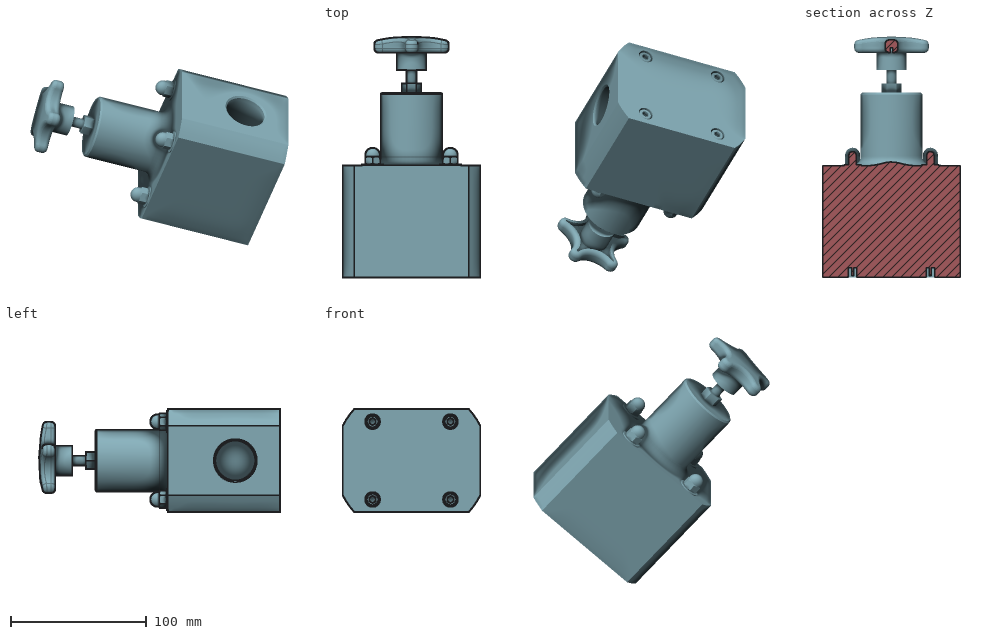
import cadquery as cq
import math

BODY_WIDTH = 101.6
BODY_HEIGHT = 76.2
BODY_LENGTH = 82.8
CORNER_DIAMETER = 113.8

PORT_DIAMETER = 29.37
PORT_MOUTH_DIAMETER = 31.75
PORT_DEPTH = 25.4
PORT_CENTRE_Y = 33.0

BOLT_OFFSET = 28.7
BOLT_SIGNS = [(-1, -1), (-1, 1), (1, -1), (1, 1)]
COUNTERBORE_DIAMETER = 11.0
COUNTERBORE_DEPTH = 7.0
HEAD_DIAMETER = 9.53
HEAD_RECESS = 0.6
HEAD_CHAMFER = 0.6
SOCKET_ACROSS_FLATS = 4.76
SOCKET_DEPTH = 3.0
SOCKET_TIP_DEPTH = 1.3

WASHER_DIAMETER = 15.88
WASHER_THICKNESS = 0.8
ACORN_ACROSS_FLATS = 11.0
ACORN_HEX_TOP_Y = 89.2
DOME_BASE_Y = 90.3
DOME_RADIUS = ACORN_ACROSS_FLATS / 2
HEX_CHAMFER_ANGLE = 30.0

BONNET_DIAMETER = 45.72
BONNET_END_Y = 136.4
BONNET_CHAMFER = 1.2
BONNET_ROOT_RADIUS = 6.35
JAM_NUT_ACROSS_FLATS = 12.7
JAM_NUT_END_Y = 143.3
STEM_DIAMETER = 7.44

HUB_DIAMETER = 22.1
HUB_OVERLAP = 1.0
HUB_START_Y = 153.1
WHEEL_BASE_Y = 165.8
WHEEL_CROWN_Y = 177.84
WHEEL_CROWN_RADIUS = 125.0
CROWN_TRIM = 2.0
ARM_COUNT = 5
FIRST_ARM_ANGLE = -90
ARM_TIP_RADIUS = 4.76
ARM_CENTRE_RADIUS = 23.9
WEB_RADIUS = 17.4
WHEEL_BASE_FILLET = 3.2
WHEEL_CROWN_FILLET = 3.0
WHEEL_RIM_WIDTH = 3.9
WHEEL_RECESS_DEPTH = 3.4


def plane_at(y):
    """Plane facing +Y at height y, with local x = X and local y = -Z."""
    return cq.Plane(origin=(0, y, 0), xDir=(1, 0, 0), normal=(0, 1, 0))


def cylinder(diameter, start_y, end_y):
    return cq.Workplane(plane_at(start_y)).circle(diameter / 2).extrude(end_y - start_y)


def hexagon(across_flats, start_y, end_y, turn=0.0):
    """Hexagonal prism along Y; its corners point along X before turning about Y."""
    across_corners = across_flats / math.cos(math.pi / 6)
    prism = cq.Workplane(plane_at(start_y)).polygon(6, across_corners).extrude(end_y - start_y)
    return prism.rotate((0, 0, 0), (0, 1, 0), turn)


def revolve_about_y(profile):
    return profile.close().revolve(360, (0, 0), (0, 1))


def polar(radius, degrees):
    angle = math.radians(degrees)
    return (radius * math.cos(angle), radius * math.sin(angle))


def at_bolts(shape):
    """Copies of a shape on the Y axis, moved to every bolt position."""
    copies = cq.Workplane("XY")
    for sign_x, sign_z in BOLT_SIGNS:
        copies = copies.add(shape.translate((sign_x * BOLT_OFFSET, 0, sign_z * BOLT_OFFSET)))
    return copies.combine()


def make_body():
    block = cq.Workplane("XY").box(BODY_WIDTH, BODY_LENGTH, BODY_HEIGHT, centered=(True, False, True))
    return block.intersect(cylinder(CORNER_DIAMETER, 0, BODY_LENGTH))


def make_port():
    mouth_chamfer = (PORT_MOUTH_DIAMETER - PORT_DIAMETER) / 2
    mouth_plane = cq.Plane(origin=(-BODY_WIDTH / 2, PORT_CENTRE_Y, 0), xDir=(0, 1, 0), normal=(1, 0, 0))
    bore = cq.Workplane(mouth_plane).circle(PORT_DIAMETER / 2).extrude(PORT_DEPTH)
    mouth = (
        cq.Workplane(mouth_plane)
        .circle(PORT_MOUTH_DIAMETER / 2)
        .extrude(mouth_chamfer, taper=45)
    )
    return bore.union(mouth)


def make_screw_head():
    """Socket head, sunk below the front face, that fills the counterbore floor."""
    head = cylinder(HEAD_DIAMETER, HEAD_RECESS, COUNTERBORE_DEPTH).faces("<Y").chamfer(HEAD_CHAMFER)
    socket_end = HEAD_RECESS + SOCKET_DEPTH
    socket = hexagon(SOCKET_ACROSS_FLATS, HEAD_RECESS, socket_end, turn=30)
    tip = revolve_about_y(
        cq.Workplane("XY")
        .moveTo(0, socket_end)
        .lineTo(SOCKET_ACROSS_FLATS / 2, socket_end)
        .lineTo(0, socket_end + SOCKET_TIP_DEPTH)
    )
    return head.cut(socket).cut(tip)


def make_acorn_nut():
    seat_y = BODY_LENGTH + WASHER_THICKNESS
    washer = cylinder(WASHER_DIAMETER, BODY_LENGTH, seat_y)
    corner_radius = ACORN_ACROSS_FLATS / 2 / math.cos(math.pi / 6)
    chamfer_drop = (corner_radius - DOME_RADIUS) * math.tan(math.radians(HEX_CHAMFER_ANGLE))
    chamfer_envelope = revolve_about_y(
        cq.Workplane("XY")
        .moveTo(0, seat_y)
        .lineTo(DOME_RADIUS, seat_y)
        .lineTo(corner_radius, seat_y + chamfer_drop)
        .lineTo(corner_radius, ACORN_HEX_TOP_Y - chamfer_drop)
        .lineTo(DOME_RADIUS, ACORN_HEX_TOP_Y)
        .lineTo(0, ACORN_HEX_TOP_Y)
    )
    wrench_flats = hexagon(ACORN_ACROSS_FLATS, seat_y, ACORN_HEX_TOP_Y, turn=30).intersect(chamfer_envelope)
    dome_mid = polar(DOME_RADIUS, 45)
    dome = revolve_about_y(
        cq.Workplane("XY")
        .moveTo(0, seat_y)
        .lineTo(DOME_RADIUS, seat_y)
        .lineTo(DOME_RADIUS, DOME_BASE_Y)
        .threePointArc((dome_mid[0], DOME_BASE_Y + dome_mid[1]), (0, DOME_BASE_Y + DOME_RADIUS))
    )
    return washer.union(wrench_flats).union(dome)


def make_bonnet():
    """Cylinder with a chamfered end and a concave fillet where it meets the body."""
    radius = BONNET_DIAMETER / 2
    root = BONNET_ROOT_RADIUS
    root_mid = polar(root, 225)
    return revolve_about_y(
        cq.Workplane("XY")
        .moveTo(0, BODY_LENGTH)
        .lineTo(radius + root, BODY_LENGTH)
        .threePointArc(
            (radius + root + root_mid[0], BODY_LENGTH + root + root_mid[1]),
            (radius, BODY_LENGTH + root),
        )
        .lineTo(radius, BONNET_END_Y - BONNET_CHAMFER)
        .lineTo(radius - BONNET_CHAMFER, BONNET_END_Y)
        .lineTo(0, BONNET_END_Y)
    )


def make_star(tip_radius, web_radius, height):
    """Prism on the wheel base: arms with round tips, joined by tangent hollows; one arm points to +Z.

    Each hollow touches both neighbouring tip circles and comes within web_radius of the axis.
    """
    half_pitch = 180 / ARM_COUNT
    tip_gap = web_radius - tip_radius
    hollow_centre_radius = (ARM_CENTRE_RADIUS**2 - tip_gap**2) / (
        2 * (ARM_CENTRE_RADIUS * math.cos(math.radians(half_pitch)) - tip_gap)
    )
    hollow_x, hollow_y = polar(hollow_centre_radius, half_pitch)
    blend_angle = math.degrees(math.atan2(hollow_y, hollow_x - ARM_CENTRE_RADIUS))
    blend_x, blend_y = polar(tip_radius, blend_angle)
    blend_x += ARM_CENTRE_RADIUS
    blend_radius = math.hypot(blend_x, blend_y)
    blend_turn = math.degrees(math.atan2(blend_y, blend_x))

    outline = cq.Workplane(plane_at(WHEEL_BASE_Y)).moveTo(*polar(blend_radius, FIRST_ARM_ANGLE - blend_turn))
    for arm in range(ARM_COUNT):
        arm_angle = FIRST_ARM_ANGLE + 2 * half_pitch * arm
        outline = outline.threePointArc(
            polar(ARM_CENTRE_RADIUS + tip_radius, arm_angle),
            polar(blend_radius, arm_angle + blend_turn),
        )
        outline = outline.threePointArc(
            polar(web_radius, arm_angle + half_pitch),
            polar(blend_radius, arm_angle + 2 * half_pitch - blend_turn),
        )
    return outline.close().extrude(height)


def make_handwheel():
    """Star with a domed crown, rounded edges and a hollow underside around the hub."""
    wheel = make_star(ARM_TIP_RADIUS, WEB_RADIUS, WHEEL_CROWN_Y - WHEEL_BASE_Y + CROWN_TRIM)
    crown = cq.Workplane("XY").sphere(WHEEL_CROWN_RADIUS)
    wheel = wheel.intersect(crown.translate((0, WHEEL_CROWN_Y - WHEEL_CROWN_RADIUS, 0)))
    wheel = wheel.faces("<Y").edges().fillet(WHEEL_BASE_FILLET)
    wheel = wheel.faces(">Y").edges().fillet(WHEEL_CROWN_FILLET)
    recess = make_star(ARM_TIP_RADIUS - WHEEL_RIM_WIDTH, WEB_RADIUS - WHEEL_RIM_WIDTH, WHEEL_RECESS_DEPTH)
    hub = cylinder(HUB_DIAMETER, HUB_START_Y, WHEEL_BASE_Y + WHEEL_RECESS_DEPTH + HUB_OVERLAP)
    return wheel.cut(recess).union(hub)


body = make_body().cut(make_port())
body = body.cut(at_bolts(cylinder(COUNTERBORE_DIAMETER, 0, COUNTERBORE_DEPTH)))
body = body.union(at_bolts(make_screw_head()))
body = body.union(make_bonnet())
body = body.union(at_bolts(make_acorn_nut()))
body = body.union(hexagon(JAM_NUT_ACROSS_FLATS, BONNET_END_Y, JAM_NUT_END_Y))
body = body.union(cylinder(STEM_DIAMETER, BONNET_END_Y, HUB_START_Y))
result = body.union(make_handwheel())